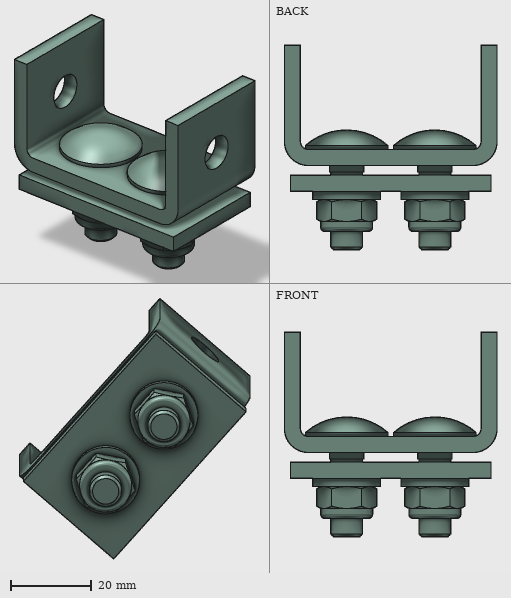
import cadquery as cq
import math

BRACKET_LENGTH = 53.1
WIDTH = 30.0
BRACKET_HEIGHT = 30.05
SHEET = 4.05
INNER_BEND = 2.0
OUTER_BEND = INNER_BEND + SHEET
PIN_HOLE_DIAMETER = 9.0
PIN_HOLE_HEIGHT = 16.0

PLATE_LENGTH = 50.0
PLATE_THICKNESS = 4.1
PLATE_TOP = -2.35
PLATE_BOTTOM = PLATE_TOP - PLATE_THICKNESS

BOLT_SPACING = 22.0
HEAD_DIAMETER = 20.65
HEAD_HEIGHT = 4.9
HEAD_RIM = 0.95
NECK_WIDTH = 8.6
NECK_CORNER_RADIUS = 1.3
NECK_BOTTOM = -1.6
SHANK_DIAMETER = 8.0
SHANK_BOTTOM = -21.0
SHANK_CHAMFER = 0.75

WASHER_DIAMETER = 17.0
WASHER_THICKNESS = 2.0
WASHER_BOTTOM = PLATE_BOTTOM - WASHER_THICKNESS
NUT_FLATS = 13.0
NUT_CORNERS = NUT_FLATS / math.cos(math.radians(30))
HEX_HEIGHT = 5.45
HEX_BOTTOM = WASHER_BOTTOM - HEX_HEIGHT
NUT_CHAMFER_ANGLE = 30
COLLAR_HEIGHT = 2.5
COLLAR_BOTTOM = HEX_BOTTOM - COLLAR_HEIGHT
COLLAR_ROUND = 1.05


def cylinder(diameter, bottom, top):
    return cq.Workplane("XY").workplane(offset=bottom).circle(diameter / 2).extrude(top - bottom)


def make_bracket():
    outer = (
        cq.Workplane("XY")
        .box(BRACKET_LENGTH, WIDTH, BRACKET_HEIGHT, centered=(True, True, False))
        .edges("|Y and <Z")
        .fillet(OUTER_BEND)
    )
    channel = (
        cq.Workplane("XY")
        .workplane(offset=SHEET)
        .box(BRACKET_LENGTH - 2 * SHEET, WIDTH, BRACKET_HEIGHT, centered=(True, True, False))
        .edges("|Y and <Z")
        .fillet(INNER_BEND)
    )
    pin_hole = (
        cq.Workplane("YZ")
        .center(0, PIN_HOLE_HEIGHT)
        .circle(PIN_HOLE_DIAMETER / 2)
        .extrude(BRACKET_LENGTH / 2, both=True)
    )
    return outer.cut(channel).cut(pin_hole)


def make_clamp_plate():
    return (
        cq.Workplane("XY")
        .workplane(offset=PLATE_BOTTOM)
        .box(PLATE_LENGTH, WIDTH, PLATE_THICKNESS, centered=(True, True, False))
    )


def make_head():
    """Domed head: a short cylindrical rim under a spherical cap."""
    radius = HEAD_DIAMETER / 2
    rise = HEAD_HEIGHT - HEAD_RIM
    sphere_radius = (radius**2 + rise**2) / (2 * rise)
    half_angle = math.asin(radius / sphere_radius) / 2
    head_top = SHEET + HEAD_HEIGHT
    mid_arc = (
        sphere_radius * math.sin(half_angle),
        head_top - sphere_radius * (1 - math.cos(half_angle)),
    )
    return (
        cq.Workplane("XZ")
        .moveTo(0, SHEET)
        .lineTo(radius, SHEET)
        .lineTo(radius, SHEET + HEAD_RIM)
        .threePointArc(mid_arc, (0, head_top))
        .close()
        .revolve(360, (0, 0, 0), (0, 1, 0))
    )


def make_bolt():
    neck = (
        cq.Workplane("XY")
        .workplane(offset=NECK_BOTTOM)
        .rect(NECK_WIDTH, NECK_WIDTH)
        .extrude(SHEET - NECK_BOTTOM)
        .edges("|Z")
        .fillet(NECK_CORNER_RADIUS)
    )
    shank = cylinder(SHANK_DIAMETER, SHANK_BOTTOM, SHEET).faces("<Z").chamfer(SHANK_CHAMFER)
    return make_head().union(neck).union(shank)


def make_nut():
    """Hexagon with both ends coned down to the flats, over a rounded locking collar."""
    hexagon = (
        cq.Workplane("XY")
        .workplane(offset=HEX_BOTTOM)
        .polygon(6, NUT_CORNERS)
        .extrude(HEX_HEIGHT)
    )
    cone_width = (NUT_CORNERS - NUT_FLATS) / 2
    cone_height = cone_width * math.tan(math.radians(NUT_CHAMFER_ANGLE))
    coned_envelope = (
        cylinder(NUT_CORNERS, HEX_BOTTOM, WASHER_BOTTOM)
        .faces("<Z")
        .chamfer(cone_height, cone_width)
        .faces(">Z")
        .chamfer(cone_height, cone_width)
    )
    collar = cylinder(NUT_FLATS, COLLAR_BOTTOM, HEX_BOTTOM).faces("<Z").edges().fillet(COLLAR_ROUND)
    return hexagon.intersect(coned_envelope).union(collar)


def make_fastener():
    washer = cylinder(WASHER_DIAMETER, WASHER_BOTTOM, PLATE_BOTTOM)
    return make_bolt().union(washer).union(make_nut())


result = make_bracket().union(make_clamp_plate())
for side in (-1, 1):
    result = result.union(make_fastener().translate((side * BOLT_SPACING / 2, 0, 0)))